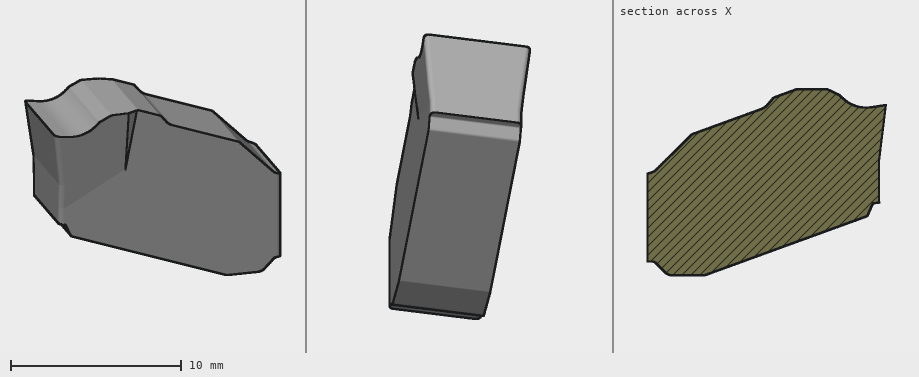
import cadquery as cq
import math


length = 14.0
height = 10.93
body_width = 5.45
cutting_width = 6.36

edge_height = 10.0
rake_angle = 8.5
relief_angle = 7.0
relief_bottom = 6.76
front_bottom = 4.27
front_y = (edge_height - relief_bottom) * math.tan(math.radians(relief_angle))

breaker_floor_y = 1.89
breaker_wall_top = (2.73, 10.58)
breaker_radius = 2.0

seat_angle = 20.0
seat_slope = math.tan(math.radians(seat_angle))
top_front_y = 3.46
top_back_y = 5.23
upper_step_y = 6.6
upper_seat_start_y = 7.09
upper_seat_end = (11.39, 8.28)
lower_seat_front_y = 1.1
lower_seat_back_y = 10.65
front_undercut = (0.77, 4.22)

back_top = 5.96
back_bottom = 0.81
back_ledge_y = 13.57
back_undercut_y = 13.6
bottom_back_y = back_undercut_y - back_bottom

blend_radius = 0.2
upper_groove_radius = 0.95
back_ledge_radius = 0.6
back_undercut_radius = 0.3
bottom_back_radius = 0.6
front_undercut_radius = 0.1
corner_radius = 0.3

flare_slope = 0.0913
side_relief = 0.0506
flare_back_top_y = 4.54
shoulder_top_y = 5.14
shoulder_apex_y = 4.43

half_space_size = 60.0


def rounded_outline(corners):
    """Close a YZ outline of (y, z, radius) corners, rounding each one by its radius."""
    points = [cq.Vector(y, z, 0) for y, z, _ in corners]
    outline = None
    for i, (_, _, radius) in enumerate(corners):
        corner = points[i]
        to_previous = (points[i - 1] - corner).normalized()
        to_next = (points[(i + 1) % len(points)] - corner).normalized()
        half_angle = to_previous.getAngle(to_next) / 2
        tangent_length = radius / math.tan(half_angle)
        start = corner + to_previous * tangent_length
        end = corner + to_next * tangent_length
        if outline is None:
            outline = cq.Workplane("YZ").moveTo(start.x, start.y)
        else:
            outline = outline.lineTo(start.x, start.y)
        if radius > 0:
            bisector = (to_previous + to_next).normalized()
            middle = corner + bisector * (radius / math.sin(half_angle) - radius)
            outline = outline.threePointArc((middle.x, middle.y), (end.x, end.y))
    return outline.close()


def insert_outline():
    """Side outline, from the cutting edge over the top to the back and along the underside."""
    breaker_floor_z = edge_height - breaker_floor_y * math.tan(math.radians(rake_angle))
    upper_step_z = height - (upper_step_y - top_back_y) * seat_slope
    seat_end_y, seat_end_z = upper_seat_end
    upper_seat_start_z = seat_end_z + (seat_end_y - upper_seat_start_y) * seat_slope
    back_ledge_z = back_top + (length - back_ledge_y) * seat_slope
    lower_seat_front_z = (lower_seat_back_y - lower_seat_front_y) * seat_slope
    return rounded_outline([
        (0, edge_height, 0),
        (breaker_floor_y, breaker_floor_z, breaker_radius),
        (*breaker_wall_top, blend_radius),
        (top_front_y, height, blend_radius),
        (top_back_y, height, blend_radius),
        (upper_step_y, upper_step_z, blend_radius),
        (upper_seat_start_y, upper_seat_start_z, upper_groove_radius),
        (seat_end_y, seat_end_z, blend_radius),
        (back_ledge_y, back_ledge_z, back_ledge_radius),
        (length, back_top, 0),
        (length, back_bottom, 0),
        (back_undercut_y, back_bottom, back_undercut_radius),
        (bottom_back_y, 0, bottom_back_radius),
        (lower_seat_back_y, 0, blend_radius),
        (lower_seat_front_y, lower_seat_front_z, blend_radius),
        (*front_undercut, front_undercut_radius),
        (front_y, front_bottom, 0),
        (front_y, relief_bottom, 0),
    ])


def half_space(point, normal):
    """Large block filling the side of a plane that its normal points to."""
    boundary = cq.Workplane(cq.Plane(point, normal=normal))
    return boundary.rect(half_space_size, half_space_size).extrude(half_space_size)


def flare_half_width(y, z):
    """Half width of the flared side, which is widest where the corner rounding starts."""
    return cutting_width / 2 - flare_slope * (edge_height - z) - side_relief * (y - corner_radius)


def round_front_corner(half):
    """Round the upright edge where the front faces meet the outer side at +X."""
    front_corner = cq.selectors.BoxSelector(
        (corner_radius, -corner_radius, front_bottom),
        (cutting_width, front_y + corner_radius, edge_height - corner_radius),
    )
    return half.edges(front_corner).edges("not |X").fillet(corner_radius)


def make_half_body():
    """Half of the parallel-sided body at +X, with rounded upright corners at both ends."""
    half_body = insert_outline().extrude(body_width / 2)
    half_body = half_body.faces(">Y").edges(">X").fillet(corner_radius)
    return round_front_corner(half_body)


def make_half_head():
    """Half of the head at +X: tapered side, sloping back shoulder and rounded front corner."""
    outline_block = insert_outline().extrude(cutting_width)

    side_point = (flare_half_width(0, edge_height), 0, edge_height)
    side_normal = (1, side_relief, -flare_slope)

    apex_rise = flare_half_width(shoulder_apex_y, height) - body_width / 2
    apex_z = height - apex_rise / flare_slope
    flare_top = cq.Vector(flare_half_width(flare_back_top_y, height), flare_back_top_y, height)
    shoulder_top = cq.Vector(body_width / 2, shoulder_top_y, height)
    apex = cq.Vector(body_width / 2, shoulder_apex_y, apex_z)
    shoulder_normal = (shoulder_top - apex).cross(flare_top - apex)

    half_head = outline_block.cut(half_space(side_point, side_normal))
    half_head = half_head.cut(half_space(apex.toTuple(), shoulder_normal.toTuple()))
    return round_front_corner(half_head)


half_insert = make_half_body().union(make_half_head())
result = half_insert.union(half_insert.mirror("YZ"))